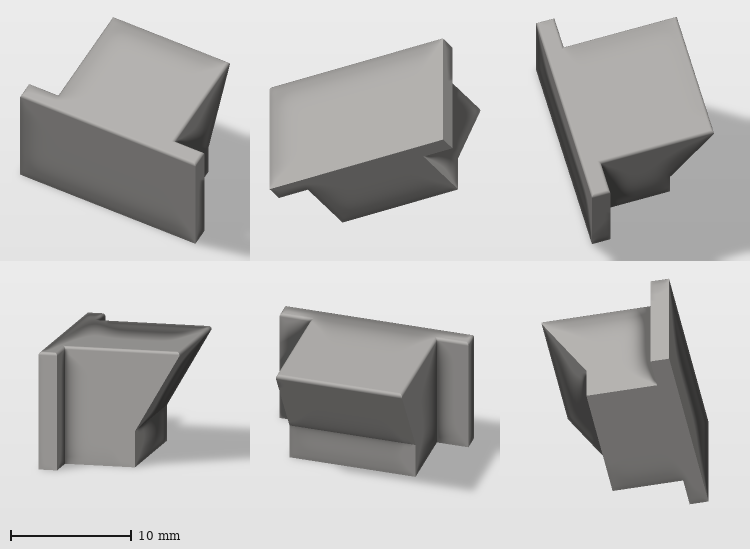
import math

import cadquery as cq

height = 10.0
flange_width = 16.5
flange_thickness = 1.6
stem_width = 11.0
foot_depth = 7.6
overhang = 4.0
overhang_angle = 30.0
top_edge_radius = 0.25

top_depth = foot_depth + overhang
slope_start_height = height - overhang / math.tan(math.radians(overhang_angle))


def make_flange():
    """Flat front plate, with its front face on Y = 0 and its bottom on Z = 0."""
    return cq.Workplane("XY").box(
        flange_width, flange_thickness, height, centered=(True, False, False)
    )


def make_stem():
    """Block behind the flange, whose rear face leans outward towards the top."""
    side_profile = [
        (0, 0),
        (foot_depth, 0),
        (foot_depth, slope_start_height),
        (top_depth, height),
        (0, height),
    ]
    return cq.Workplane("YZ").polyline(side_profile).close().extrude(stem_width / 2, both=True)


def round_top_edges(body):
    """Round the whole outline of the T-shaped top face."""
    return body.faces(">Z").edges().fillet(top_edge_radius)


result = round_top_edges(make_flange().union(make_stem()))